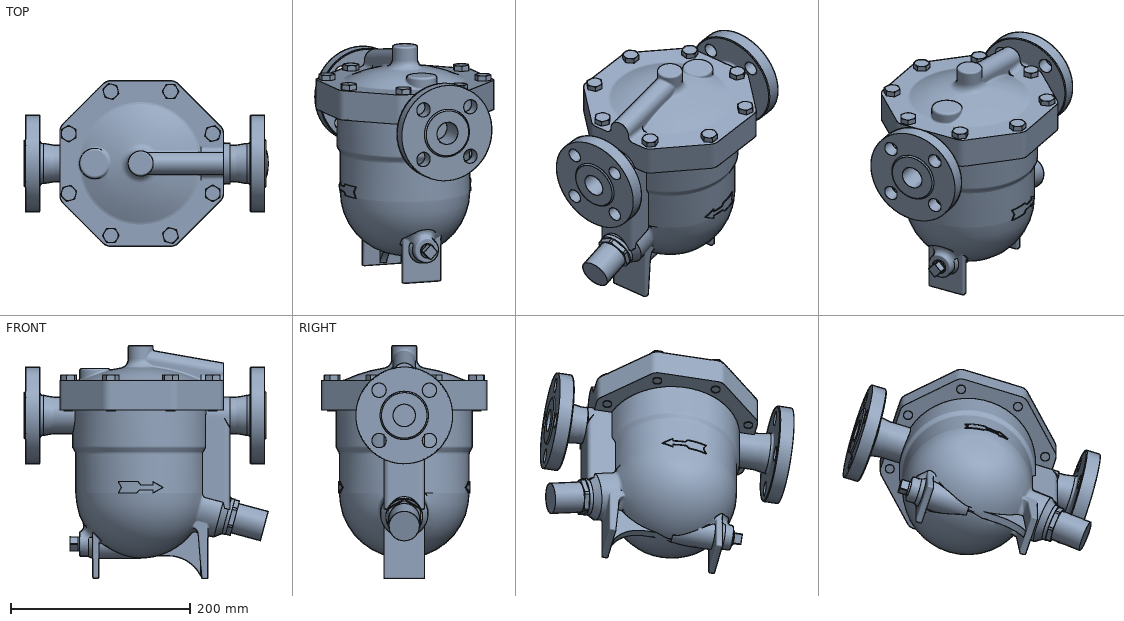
import cadquery as cq
import math


top_z = 78.0
foot_z = -182.0

joint_across = 185.0
joint_left_x = -90.3
joint_corner_radius = 12.0
joint_bottom_z = 6.0
joint_split_z = 23.0
joint_top_z = 39.2
bolt_count = 8
bolt_circle_diameter = 174.0
bolt_head_across = 16.0
bolt_head_height = 6.0
bolt_head_bevel_height = 0.5
bolt_head_bevel_width = 1.0
bolt_head_turn = -7.5
bolt_tip_diameter = 10.0
bolt_tip_length = 0.9
first_bolt_angle = 22.5

dome_rim_radius = 67.2
dome_sphere_radius = 155.0
dome_root_radius = 75.0
dome_rim_fillet = 5.0
neck_diameter = 28.0
neck_fillet = 10.0
neck_top_fillet = 2.0
cover_boss_x = -51.2
cover_boss_diameter = 34.0
cover_boss_top_z = 52.5
cover_boss_fillet = 2.8
rib_diameter = 25.0
rib_angle = 10.0
rib_end_z = 45.8
rib_dome_fillet = 2.0
rib_plate_fillet = 5.8
cover_boss_foot_fillet = 2.0

upper_radius = 76.0
lower_radius = 72.5
step_top_z = -35.7
step_bottom_z = -41.9
step_fillet = 4.0
bowl_center_z = -86.7

arrow_height = 1.0
arrow_half_length = 25.0
arrow_half_height = 6.4
arrow_shaft_half_height = 2.9
arrow_notch = 3.4
arrow_head_x = 13.5
arrow_shaft_x = -1.5
arrow_kink = 1.5

face_to_face = 270.0
flange_center_x = 5.0
flange_diameter = 108.0
flange_back = 17.9
flange_back_chamfer = 1.0
raised_face_diameter = 50.8
raised_face_height = 1.6
hub_root_radius = 25.0
hub_radius = 22.6
hub_start = 21.4
hub_end = 33.5
pipe_diameter = 41.0
bore_diameter = 25.0
flange_hole_diameter = 16.0
flange_hole_circle = 79.4
flange_hole_count = 4
first_flange_hole_angle = 45.0

duct_half_width = 22.7
duct_end_x = 99.8
duct_arch_z = -3.6
duct_top_z = 20.6
duct_bottom_rise = 8.0
duct_root_x = 43.5
duct_corner_radius = 6.2
duct_runout_drop = 10.5

outlet_angle = 15.0
outlet_end_x = 138.0
outlet_end_z = -123.5
spigot_diameter = 34.0
spigot_length = 34.0
nut_across = 36.0
nut_turned_diameter = 40.0
nut_length = 5.5
collar_diameter = 41.0
collar_start = 43.6
outlet_boss_diameter = 53.0
outlet_boss_end = 51.4
outlet_root = 95.0
outlet_root_fillet = 5.0

drain_z = -143.4
drain_boss_diameter = 33.0
drain_tip_diameter = 28.0
drain_tip_x = -68.1
drain_flare_start_x = -58.5
drain_flare_end_x = -53.5
drain_tip_fillet = 1.5
drain_bowl_fillet = 7.0
drain_tip_root_x = -5.0
plug_neck_diameter = 16.0
plug_square = 12.0
plug_square_x = -70.2
plug_end_x = -79.0

foot_thickness = 7.0
foot_half_width = 22.7
foot_edge_fillet = 2.0
foot_root_fillet = 2.0
right_foot_sole_fillet = 1.0
left_foot_x = -53.6
left_foot_top_z = -130.0
right_foot_x = 68.1
right_foot_top_z = -108.0
right_foot_lean = 4.0
right_foot_bend_z = -132.5
right_foot_root_x = 54.0
right_foot_root_z = -125.0
right_foot_bend_radius = 9.0
web_thickness = 8.0
web_bottom_z = -156.8
web_arc_start_x = 31.0
web_arc_radius = 40.0
web_arc_end_x = 67.0

seam_tolerance = 0.001


def seam_edges(joined, first, second):
    """Edges of the joined solid that lie on the surfaces of both of its parts."""
    skins = [cq.Compound.makeCompound(part.faces().vals()) for part in (first, second)]
    seams = []
    for edge in joined.edges().vals():
        probes = [cq.Vertex.makeVertex(*edge.positionAt(at).toTuple()) for at in (0.25, 0.5, 0.75)]
        if all(probe.distance(skin) < seam_tolerance for probe in probes for skin in skins):
            seams.append(edge)
    return seams


def join_with_fillet(base, added, radius):
    """Union of two solids with a fillet all along their seam."""
    joined = base.union(added)
    return joined.newObject(seam_edges(joined, base, added)).fillet(radius)


def x_cylinder(radius, x_start, x_end, z):
    """Cylinder along X."""
    return cq.Workplane("YZ", origin=(x_start, 0, z)).circle(radius).extrude(x_end - x_start)


def make_vessel():
    bowl_bottom_z = bowl_center_z - lower_radius
    diagonal = lower_radius * math.sqrt(0.5)
    vessel = (
        cq.Workplane("XZ")
        .moveTo(0, joint_bottom_z)
        .lineTo(upper_radius, joint_bottom_z)
        .lineTo(upper_radius, step_top_z)
        .lineTo(lower_radius, step_bottom_z)
        .lineTo(lower_radius, bowl_center_z)
        .threePointArc((diagonal, bowl_center_z - diagonal), (0, bowl_bottom_z))
        .close()
        .revolve(360, (0, 0, 0), (0, 1, 0))
    )
    step_edges = cq.selectors.BoxSelector(
        (-joint_across, -joint_across, step_bottom_z - step_fillet),
        (joint_across, joint_across, step_top_z + step_fillet),
    )
    return vessel.edges("%CIRCLE").edges(step_edges).fillet(step_fillet)


def make_flow_arrow(side):
    """Arrow pointing to +X, raised on the vessel wall on the given Y side (-1 or +1)."""
    middle_z = bowl_center_z + arrow_half_height
    outline = [
        (-arrow_half_length, arrow_half_height),
        (arrow_shaft_x - arrow_kink, arrow_half_height),
        (arrow_shaft_x + arrow_kink, arrow_shaft_half_height),
        (arrow_head_x, arrow_shaft_half_height),
        (arrow_head_x, arrow_half_height),
        (arrow_half_length, 0),
        (arrow_head_x, -arrow_half_height),
        (arrow_head_x, -arrow_shaft_half_height),
        (arrow_shaft_x, -arrow_shaft_half_height),
        (arrow_shaft_x - 2 * arrow_kink, -arrow_half_height),
        (-arrow_half_length, -arrow_half_height),
        (-arrow_half_length + arrow_notch, 0),
    ]
    blank = (
        cq.Workplane("XZ", origin=(0, 0, middle_z))
        .polyline(outline)
        .close()
        .extrude(-side * joint_across / 2)
    )
    skin = (
        cq.Workplane("XY", origin=(0, 0, bowl_center_z))
        .circle(lower_radius + arrow_height)
        .circle(lower_radius - arrow_height)
        .extrude(2 * arrow_half_height)
    )
    return blank.intersect(skin)


def make_joint_plate(bottom_z, height):
    """Octagonal plate with rounded corners, its -X side trimmed flat."""
    across_corners = joint_across / math.cos(math.pi / bolt_count)
    trim_width = joint_across
    trim = cq.Workplane("XY").box(trim_width, 2 * joint_across, 4 * joint_across)
    trim = trim.translate((joint_left_x - trim_width / 2, 0, 0))
    return (
        cq.Workplane("XY", origin=(0, 0, bottom_z))
        .polygon(bolt_count, across_corners)
        .extrude(height)
        .rotate((0, 0, 0), (0, 0, 1), first_bolt_angle)
        .cut(trim)
        .edges("|Z")
        .fillet(joint_corner_radius)
    )


def make_bolts():
    head_corners = bolt_head_across / math.cos(math.pi / 6)
    head = (
        cq.Workplane("XY", origin=(bolt_circle_diameter / 2, 0, joint_top_z))
        .polygon(6, head_corners)
        .extrude(bolt_head_height)
    )
    head_crown = (
        cq.Workplane("XY", origin=(bolt_circle_diameter / 2, 0, joint_top_z))
        .circle(head_corners / 2)
        .extrude(bolt_head_height)
        .faces(">Z")
        .edges()
        .chamfer(bolt_head_bevel_height, bolt_head_bevel_width)
    )
    tip = (
        cq.Workplane("XY", origin=(bolt_circle_diameter / 2, 0, joint_bottom_z))
        .circle(bolt_tip_diameter / 2)
        .extrude(-bolt_tip_length)
    )
    pivot = (bolt_circle_diameter / 2, 0, 0)
    head = head.intersect(head_crown).rotate(pivot, (pivot[0], 0, 1), bolt_head_turn)
    bolts = cq.Workplane("XY")
    for index in range(bolt_count):
        angle = first_bolt_angle + index * 360 / bolt_count
        bolts = bolts.add(head.rotate((0, 0, 0), (0, 0, 1), angle))
        bolts = bolts.add(tip.rotate((0, 0, 0), (0, 0, 1), angle))
    return bolts.vals()


def sphere_height(radius):
    return math.sqrt(dome_sphere_radius**2 - radius**2)


def dome_z(radius):
    return joint_top_z - sphere_height(dome_rim_radius) + sphere_height(radius)


def make_dome():
    """Shallow dome, blended into the cylindrical vent neck in its middle."""
    neck_radius = neck_diameter / 2
    dome_center_z = joint_top_z - sphere_height(dome_rim_radius)
    blend_center_r = neck_radius + neck_fillet
    blend_reach = dome_sphere_radius + neck_fillet
    blend_center_z = dome_center_z + math.sqrt(blend_reach**2 - blend_center_r**2)
    blend_end_r = blend_center_r * dome_sphere_radius / blend_reach
    dome_end_angle = math.atan2(dome_center_z - blend_center_z, -blend_center_r)
    middle_angle = (dome_end_angle % (2 * math.pi) + math.pi) / 2
    blend_mid = (
        blend_center_r + neck_fillet * math.cos(middle_angle),
        blend_center_z + neck_fillet * math.sin(middle_angle),
    )
    middle_r = (blend_end_r + dome_root_radius) / 2
    return (
        cq.Workplane("XZ")
        .moveTo(0, joint_split_z)
        .lineTo(dome_root_radius, joint_split_z)
        .lineTo(dome_root_radius, dome_z(dome_root_radius))
        .threePointArc((middle_r, dome_z(middle_r)), (blend_end_r, dome_z(blend_end_r)))
        .threePointArc(blend_mid, (neck_radius, blend_center_z))
        .lineTo(neck_radius, top_z)
        .lineTo(0, top_z)
        .close()
        .revolve(360, (0, 0, 0), (0, 1, 0))
        .faces(">Z")
        .edges()
        .fillet(neck_top_fillet)
    )


def make_cover_boss():
    return (
        cq.Workplane("XY", origin=(cover_boss_x, 0, joint_split_z))
        .circle(cover_boss_diameter / 2)
        .extrude(cover_boss_top_z - joint_split_z)
        .faces(">Z")
        .edges()
        .fillet(cover_boss_fillet)
    )


def make_rib():
    """Round-topped rib that slopes down from the neck to the +X side of the cover."""
    end_x = joint_across / 2
    slope = math.tan(math.radians(rib_angle))
    neck_z = rib_end_z + end_x * slope
    bar = (
        cq.Workplane("YZ")
        .circle(rib_diameter / 2)
        .extrude(end_x + rib_diameter)
        .rotate((0, 0, 0), (0, 1, 0), rib_angle)
        .translate((0, 0, neck_z))
    )
    envelope = cq.Workplane("XY").box(end_x, rib_diameter, 2 * top_z, centered=(False, True, False))
    wall = (
        cq.Workplane("XZ", origin=(0, rib_diameter / 2, 0))
        .polyline([(0, joint_split_z), (end_x, joint_split_z), (end_x, rib_end_z), (0, neck_z)])
        .close()
        .extrude(rib_diameter)
    )
    return bar.intersect(envelope).union(wall)


def make_rib_gusset(side):
    """Concave strip between the rib wall and the cover plate on the given Y side (-1 or +1)."""
    wall_y = side * rib_diameter / 2
    outer_y = wall_y + side * rib_plate_fillet
    bend = rib_plate_fillet * (1 - math.sqrt(0.5))
    return (
        cq.Workplane("YZ", origin=(dome_rim_radius, 0, 0))
        .moveTo(0, joint_top_z)
        .lineTo(outer_y, joint_top_z)
        .threePointArc(
            (wall_y + side * bend, joint_top_z + bend), (wall_y, joint_top_z + rib_plate_fillet)
        )
        .lineTo(0, joint_top_z + rib_plate_fillet)
        .close()
        .extrude(joint_across / 2 - dome_rim_radius)
    )


def make_branch(side):
    """Weld-neck flange and pipe on the given X side (-1 or +1)."""
    face_x = face_to_face / 2 + side * flange_center_x
    flange_radius = flange_diameter / 2
    pipe_radius = pipe_diameter / 2
    raised_radius = raised_face_diameter / 2

    def section_x(depth):
        return face_x - depth

    branch = (
        cq.Workplane("XY")
        .moveTo(0, 0)
        .lineTo(section_x(0), 0)
        .lineTo(section_x(0), raised_radius)
        .lineTo(section_x(raised_face_height), raised_radius + raised_face_height)
        .lineTo(section_x(raised_face_height), flange_radius)
        .lineTo(section_x(flange_back - flange_back_chamfer), flange_radius)
        .lineTo(section_x(flange_back), flange_radius - flange_back_chamfer)
        .lineTo(section_x(flange_back), hub_root_radius)
        .tangentArcPoint((section_x(hub_start), hub_radius), relative=False)
        .lineTo(section_x(hub_end), pipe_radius)
        .lineTo(0, pipe_radius)
        .close()
        .revolve(360, (0, 0, 0), (1, 0, 0))
    )
    holes = (
        cq.Workplane("YZ", origin=(section_x(0), 0, 0))
        .polarArray(flange_hole_circle / 2, first_flange_hole_angle, 360, flange_hole_count)
        .circle(flange_hole_diameter / 2)
        .extrude(-flange_back)
    )
    bore = x_cylinder(bore_diameter / 2, section_x(hub_end), section_x(0), 0)
    branch = branch.cut(holes).cut(bore)
    if side < 0:
        branch = branch.mirror("YZ")
    return branch


def make_duct():
    """Arch-topped duct from the +X branch down to the outlet; its corners round off below the arch."""
    slope = math.tan(math.radians(outlet_angle))

    def bottom_z(x):
        return outlet_end_z + duct_bottom_rise + (outlet_end_x - x) * slope

    arch = (
        cq.Workplane("YZ", origin=(duct_root_x, 0, 0))
        .moveTo(-duct_half_width, duct_arch_z)
        .threePointArc((0, duct_top_z), (duct_half_width, duct_arch_z))
        .close()
        .extrude(duct_end_x - duct_root_x)
    )
    height = duct_arch_z - bottom_z(duct_end_x)
    length = duct_end_x - duct_root_x
    box = cq.Workplane("XY", origin=(duct_root_x, 0, duct_arch_z - height)).box(
        length, 2 * duct_half_width, height, centered=(False, True, False)
    )
    rounded = box.edges("|Z and >X").fillet(duct_corner_radius)
    runout = (
        cq.Workplane("XZ", origin=(0, duct_half_width, 0))
        .moveTo(duct_end_x - duct_corner_radius, duct_arch_z)
        .lineTo(duct_end_x, duct_arch_z)
        .lineTo(duct_end_x, duct_arch_z - duct_runout_drop)
        .close()
        .extrude(2 * duct_half_width)
    )
    below_bottom = (
        cq.Workplane("XZ", origin=(0, duct_half_width, 0))
        .moveTo(duct_root_x, bottom_z(duct_root_x))
        .lineTo(duct_end_x, bottom_z(duct_end_x))
        .lineTo(duct_root_x, bottom_z(duct_end_x))
        .close()
        .extrude(2 * duct_half_width)
    )
    return rounded.union(runout).union(arch).cut(below_bottom)


def make_outlet():
    """Boss, collar, nut and spigot along a downward slanted axis."""
    plane = cq.Plane(
        origin=(outlet_end_x, 0, outlet_end_z),
        xDir=(0, 1, 0),
        normal=(math.cos(math.radians(outlet_angle)), 0, -math.sin(math.radians(outlet_angle))),
    )

    def turned(diameter, start, length):
        return cq.Workplane(plane).workplane(offset=-start).circle(diameter / 2).extrude(length)

    nut_end = spigot_length + nut_length
    nut = (
        cq.Workplane(plane)
        .workplane(offset=-nut_end)
        .transformed(rotate=(0, 0, 90))
        .polygon(6, nut_across / math.cos(math.pi / 6))
        .extrude(nut_length)
        .intersect(turned(nut_turned_diameter, nut_end, nut_length))
    )
    taper = (
        cq.Workplane(plane)
        .workplane(offset=-outlet_boss_end)
        .circle(outlet_boss_diameter / 2)
        .workplane(offset=outlet_boss_end - collar_start)
        .circle(collar_diameter / 2)
        .loft()
    )
    return (
        turned(spigot_diameter, nut_end, nut_end)
        .union(nut)
        .union(turned(collar_diameter, collar_start, collar_start - nut_end))
        .union(taper)
        .union(turned(outlet_boss_diameter, outlet_root, outlet_root - outlet_boss_end))
    )


def make_drain_tip():
    tip = x_cylinder(drain_tip_diameter / 2, drain_tip_x, drain_tip_root_x, drain_z)
    return tip.faces("<X").edges().fillet(drain_tip_fillet)


def make_drain_channel():
    """Flared thicker part of the drain, from behind its tip to the vessel axis."""
    channel_radius = drain_boss_diameter / 2
    return (
        cq.Workplane("XY")
        .moveTo(0, 0)
        .lineTo(drain_flare_start_x, 0)
        .lineTo(drain_flare_start_x, drain_tip_diameter / 2)
        .lineTo(drain_flare_end_x, channel_radius)
        .lineTo(0, channel_radius)
        .close()
        .revolve(360, (0, 0, 0), (1, 0, 0))
        .translate((0, 0, drain_z))
    )


def make_plug():
    neck = x_cylinder(plug_neck_diameter / 2, plug_square_x, drain_tip_x, drain_z)
    square = (
        cq.Workplane("YZ", origin=(plug_end_x, 0, drain_z))
        .transformed(rotate=(0, 0, 45))
        .rect(plug_square, plug_square)
        .extrude(plug_square_x - plug_end_x)
        .intersect(x_cylinder(plug_neck_diameter / 2, plug_end_x, plug_square_x, drain_z))
    )
    return neck.union(square)


def make_left_foot():
    return (
        cq.Workplane("XY", origin=(left_foot_x, 0, foot_z))
        .box(foot_thickness, 2 * foot_half_width, left_foot_top_z - foot_z, centered=(False, True, False))
        .edges("|Z or <Z")
        .fillet(foot_edge_fillet)
    )


def make_right_foot():
    outer_x = right_foot_x + foot_thickness
    bend_x = right_foot_x - right_foot_lean
    return (
        cq.Workplane("XZ", origin=(0, foot_half_width, 0))
        .moveTo(right_foot_x, foot_z)
        .lineTo(outer_x, foot_z)
        .lineTo(outer_x, right_foot_top_z)
        .lineTo(right_foot_root_x, right_foot_top_z)
        .lineTo(right_foot_root_x, right_foot_root_z)
        .radiusArc((bend_x, right_foot_bend_z), right_foot_bend_radius)
        .close()
        .extrude(2 * foot_half_width)
        .faces("<Y or >Y")
        .edges("not |X")
        .fillet(foot_edge_fillet)
        .edges("<Z and |Y")
        .fillet(right_foot_sole_fillet)
    )


def make_web():
    """Thin web in the middle plane between the bowl and the right foot, with a concave lower edge."""
    arc_center_z = web_bottom_z - web_arc_radius
    end_angle = math.acos((web_arc_end_x - web_arc_start_x) / web_arc_radius)
    arc_end_z = arc_center_z + web_arc_radius * math.sin(end_angle)
    middle_angle = (math.pi / 2 + end_angle) / 2
    arc_middle = (
        web_arc_start_x + web_arc_radius * math.cos(middle_angle),
        arc_center_z + web_arc_radius * math.sin(middle_angle),
    )
    return (
        cq.Workplane("XZ", origin=(0, web_thickness / 2, 0))
        .moveTo(0, bowl_center_z)
        .lineTo(0, web_bottom_z)
        .lineTo(web_arc_start_x, web_bottom_z)
        .threePointArc(arc_middle, (web_arc_end_x, arc_end_z))
        .lineTo(web_arc_end_x, right_foot_bend_z)
        .close()
        .extrude(web_thickness)
    )


body = join_with_fillet(make_vessel(), make_drain_tip(), drain_bowl_fillet)
body = join_with_fillet(body, make_left_foot(), foot_root_fillet)
body = body.union(make_drain_channel())
body = join_with_fillet(body, make_outlet(), outlet_root_fillet)
body = join_with_fillet(body, make_right_foot(), foot_root_fillet)
body = body.union(make_web()).union(make_duct())
for branch_side in (-1, 1):
    body = body.union(make_branch(branch_side))
for arrow_side in (-1, 1):
    body = body.union(make_flow_arrow(arrow_side))
body = body.union(make_plug())
body = body.union(make_joint_plate(joint_bottom_z, joint_split_z - joint_bottom_z))

cover = make_joint_plate(joint_split_z, joint_top_z - joint_split_z)
cover = join_with_fillet(cover, make_dome(), dome_rim_fillet)
cover = join_with_fillet(cover, make_cover_boss(), cover_boss_foot_fillet)
cover = join_with_fillet(cover, make_rib(), rib_dome_fillet)
for gusset_side in (-1, 1):
    cover = cover.union(make_rib_gusset(gusset_side))

result = body.union(cover, clean=False)
for bolt_piece in make_bolts():
    result = result.union(cq.Workplane(bolt_piece), clean=False)